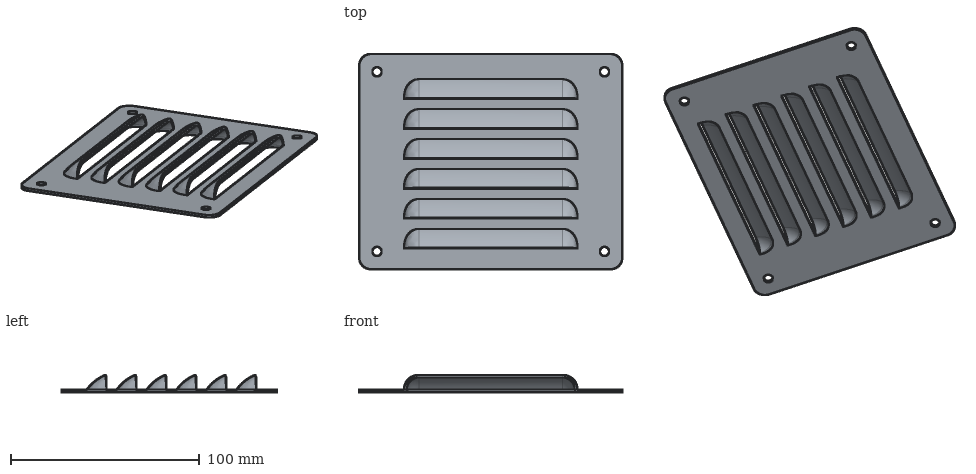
import cadquery as cq
import math

plate_length = 139.7
plate_width = 114.3
sheet = 1.5
corner_radius = 6.35

hole_diameter = 4.76
hole_inset = 9.525

overall_height = 9.35
louvre_count = 6
louvre_pitch = 15.875
first_opening_y = -46.15
straight_half_length = 38.1
crest_slope = 22.0
crown_radius = 21.0
swing_angle = 40.0

crest_tilt = math.radians(crest_slope)
crest_z = overall_height - sheet * math.cos(crest_tilt)
arch_radius = crest_z - sheet
arch_half_width = straight_half_length + arch_radius
axis_y = -crown_radius * math.sin(crest_tilt)
axis_z = crest_z - crown_radius * math.cos(crest_tilt)


def make_plate():
    plate = cq.Workplane("XY").box(plate_length, plate_width, sheet, centered=(True, True, False))
    plate = plate.edges("|Z").fillet(corner_radius)
    hole_span_x = plate_length - 2 * hole_inset
    hole_span_y = plate_width - 2 * hole_inset
    holes = plate.faces(">Z").workplane().rect(hole_span_x, hole_span_y, forConstruction=True)
    return holes.vertices().hole(hole_diameter)


def make_hollow():
    """Space under one louvre: a round-shouldered arch swung about the axis."""
    shoulder = arch_radius * math.sqrt(0.5)
    shoulder_x = straight_half_length + shoulder
    shoulder_z = sheet + shoulder
    arch = (
        cq.Workplane("XZ")
        .moveTo(-arch_half_width, 0)
        .lineTo(-arch_half_width, sheet)
        .threePointArc((-shoulder_x, shoulder_z), (-straight_half_length, crest_z))
        .lineTo(straight_half_length, crest_z)
        .threePointArc((shoulder_x, shoulder_z), (arch_half_width, sheet))
        .lineTo(arch_half_width, 0)
        .close()
    )
    arch_face = cq.Face.makeFromWires(arch.wires().val())
    axis_start = cq.Vector(0, axis_y, axis_z)
    axis_end = cq.Vector(-1, axis_y, axis_z)
    return cq.Workplane(cq.Solid.revolve(arch_face, swing_angle, axis_start, axis_end))


def make_walls(hollow):
    """Sheet laid on the crown, shoulders and legs, its open end square to the sheet."""
    crown = hollow.faces("%CYLINDER").faces(">Z")
    shoulders = hollow.faces("%REVOLUTION")
    legs = hollow.faces("<X or >X")
    walls = cq.Workplane()
    for face in crown.vals() + shoulders.vals() + legs.vals():
        walls = walls.add(face.thicken(sheet))
    keep_size = (plate_length, plate_width, overall_height)
    above_underside = cq.Workplane("XY").box(*keep_size, centered=(True, True, False))
    return walls.combine().intersect(above_underside)


hollow = make_hollow()
walls = make_walls(hollow)

louvred_plate = make_plate()
for index in range(louvre_count):
    opening_y = first_opening_y + index * louvre_pitch
    shift = (0, opening_y, 0)
    louvred_plate = louvred_plate.union(walls.translate(shift)).cut(hollow.translate(shift))

result = louvred_plate.solids()